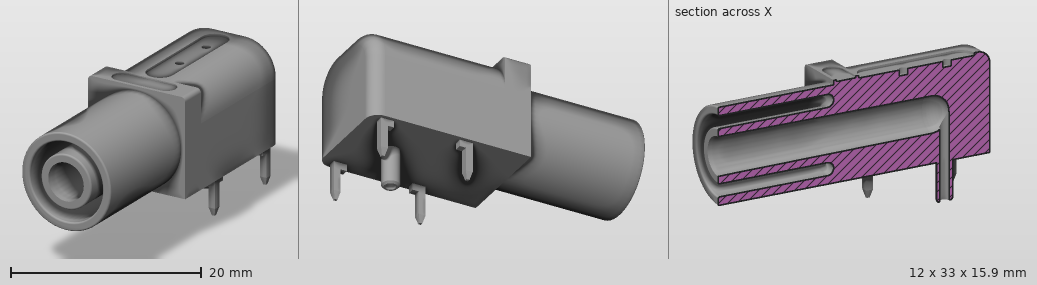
import cadquery as cq
import math

housing_width = 12.0
housing_height = 11.5
total_length = 33.0
collar_front_y = 14.0
collar_length = 3.1
collar_corner_radius = 0.5
shoulder_radius = 4.0
back_edge_radius = 1.52
cut_overlap = 0.33

slot_width = 3.1
slot_length = 13.93
slot_depth = 0.3
label_length = 7.72
label_width = 2.3
label_depth = 0.2
dimple_diameter = 1.0
dimple_depth = 0.65
dimple_centers_y = (22.5, 27.8)

barrel_diameter = 11.0
groove_outer_diameter = 9.0
groove_inner_diameter = 6.2
groove_depth = collar_front_y
rim_radius = 0.2
bore_mouth_diameter = 4.4
bore_end_diameter = 4.12
bore_depth = 28.0

peg_diameter = 2.0
peg_length = 4.42
peg_chamfer = 0.23
peg_center_y = 27.5
peg_hole_diameter = 1.1

pin_width = 0.82
pin_center_x = 5.1
pin_row_ys = (21.12, 31.3)
pin_length = peg_length
pin_tip_length = 0.92
pin_tip_width = 0.33
pin_foot_length = 1.55
pin_foot_height = 0.8

barrel_radius = barrel_diameter / 2
axis_z = barrel_radius
collar_back_y = collar_front_y + collar_length
body_length = total_length - collar_front_y


def y_block(y_start, length):
    """Full-section housing block running along +Y from y_start."""
    return cq.Workplane("XY").box(
        housing_width, length, housing_height, centered=(True, False, False)
    ).translate((0, y_start, 0))


def make_housing():
    """Body with round shoulders and a rounded back, behind a squarer collar."""
    body = y_block(collar_front_y, body_length)
    body = body.edges("|Y and >Z").fillet(shoulder_radius)
    body = body.faces(">Y").edges("not <Z").fillet(back_edge_radius)
    collar = y_block(collar_front_y, collar_length)
    collar = collar.edges("|Y and >Z").fillet(collar_corner_radius)
    return body.union(collar)


def top_pocket(center_y, size_x, size_y, depth):
    """Round-ended pocket cutter sunk into the top face."""
    angle = 90 if size_y > size_x else 0
    return (
        cq.Workplane("XY", origin=(0, center_y, housing_height - depth))
        .slot2D(max(size_x, size_y), min(size_x, size_y), angle)
        .extrude(depth + cut_overlap)
    )


def make_top_cutters():
    """Long slot with two dimples in its floor, and the label recess on the collar."""
    cutters = top_pocket(collar_back_y + slot_length / 2, slot_width, slot_length, slot_depth)
    label_y = collar_front_y + collar_length / 2
    cutters = cutters.union(top_pocket(label_y, label_length, label_width, label_depth))
    dimple_floor_z = housing_height - slot_depth - dimple_depth
    for center_y in dimple_centers_y:
        dimple = (
            cq.Workplane("XY", origin=(0, center_y, dimple_floor_z))
            .circle(dimple_diameter / 2)
            .extrude(dimple_depth + slot_depth)
        )
        cutters = cutters.union(dimple)
    return cutters


def revolve_about_socket_axis(profile):
    """Revolve a (radius, y) profile about the Y axis and lift it to the socket axis."""
    return profile.close().revolve(360, (0, 0, 0), (0, 1, 0)).translate((0, 0, axis_z))


def make_barrel():
    """Plain barrel with a rounded outer rim, ending at the collar."""
    profile = (
        cq.Workplane("XY")
        .moveTo(0, 0)
        .lineTo(barrel_radius - rim_radius, 0)
        .radiusArc((barrel_radius, rim_radius), -rim_radius)
        .lineTo(barrel_radius, collar_front_y)
        .lineTo(0, collar_front_y)
    )
    return revolve_about_socket_axis(profile)


def make_groove():
    """Annular groove cutter with rounded lips and a full-round bottom."""
    outer = groove_outer_diameter / 2
    inner = groove_inner_diameter / 2
    bottom_radius = (outer - inner) / 2
    straight_end_y = groove_depth - bottom_radius
    profile = (
        cq.Workplane("XY")
        .moveTo(inner - rim_radius, 0)
        .radiusArc((inner, rim_radius), -rim_radius)
        .lineTo(inner, straight_end_y)
        .threePointArc((inner + bottom_radius, groove_depth), (outer, straight_end_y))
        .lineTo(outer, rim_radius)
        .radiusArc((outer + rim_radius, 0), -rim_radius)
    )
    return revolve_about_socket_axis(profile)


def make_bore():
    """Slightly tapered bore cutter whose end is a hemisphere."""
    mouth = bore_mouth_diameter / 2
    end = bore_end_diameter / 2
    sphere_center_y = bore_depth - end
    arc_share = math.sqrt(0.5)
    profile = (
        cq.Workplane("XY")
        .moveTo(0, 0)
        .lineTo(mouth, 0)
        .lineTo(end, sphere_center_y)
        .threePointArc((end * arc_share, sphere_center_y + end * arc_share), (0, bore_depth))
    )
    return revolve_about_socket_axis(profile)


def make_peg():
    """Round locating peg under the housing with a chamfered end."""
    peg = cq.Workplane("XY", origin=(0, peg_center_y, -peg_length)).circle(peg_diameter / 2)
    return peg.extrude(peg_length).faces("<Z").chamfer(peg_chamfer)


def make_peg_hole():
    """Vertical hole cutter from the peg end up to the socket axis."""
    hole = cq.Workplane("XY", origin=(0, peg_center_y, -peg_length)).circle(peg_hole_diameter / 2)
    return hole.extrude(peg_length + axis_z)


def make_pin(center_x, center_y, foot_direction):
    """Square pin with a tapered tip and a foot reaching along Y by foot_direction."""
    shoulder_z = pin_tip_length - pin_length
    shank = (
        cq.Workplane("XY", origin=(center_x, center_y, shoulder_z))
        .rect(pin_width, pin_width)
        .extrude(-shoulder_z)
    )
    tip = (
        cq.Workplane("XY", origin=(center_x, center_y, shoulder_z))
        .rect(pin_width, pin_width)
        .workplane(offset=-pin_tip_length)
        .rect(pin_tip_width, pin_tip_width)
        .loft()
    )
    foot_center_y = center_y + foot_direction * (pin_foot_length - pin_width) / 2
    foot = (
        cq.Workplane("XY", origin=(center_x, foot_center_y, -pin_foot_height))
        .rect(pin_width, pin_foot_length)
        .extrude(pin_foot_height)
    )
    return shank.union(tip).union(foot)


result = make_housing().union(make_barrel()).union(make_peg())
result = result.cut(make_top_cutters())
result = result.cut(make_groove()).cut(make_bore()).cut(make_peg_hole())

for side in (-1, 1):
    for row_y, foot_direction in zip(pin_row_ys, (1, -1)):
        result = result.union(make_pin(side * pin_center_x, row_y, foot_direction))